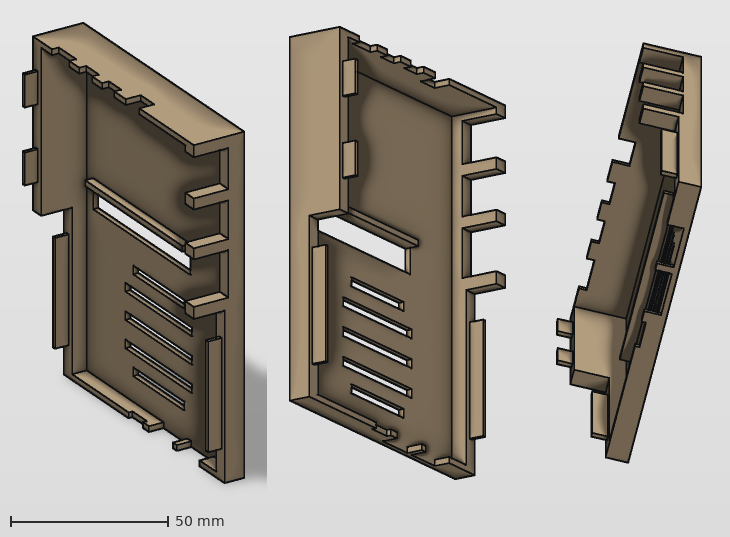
import cadquery as cq

width = 96.0
height = 121.5
upper_depth = 19.0
lower_depth = 7.4
step_z = 60.5
plate_thickness = 2.0
side_wall = 5.1
end_wall = 2.1

tongue_thickness = 1.3
tongue_inset = 1.7
upper_tongue_reach = 4.9
lower_tongue_reach = 5.1
upper_tongue_length = 11.5
upper_tongue_bottoms = (71.6, 98.9)
lower_tongue_bottom = 11.4
lower_tongue_length = 38.9

side_slot_floor = 6.0
side_slots = (
    (64.8, 81.4),
    (85.3, 98.9),
    (102.8, 117.2),
)

shallow_cut = 2.5
deep_cut = 5.6
top_notches = (
    (11.4, 21.7, shallow_cut),
    (27.7, 35.4, shallow_cut),
    (41.3, 48.6, shallow_cut),
    (55.4, 63.5, deep_cut),
)

relief_cut = 1.5
full_cut = lower_depth - plate_thickness
bottom_notches = (
    (38.8, 47.3, relief_cut),
    (50.9, 65.2, full_cut),
    (67.5, 81.0, full_cut),
)

window_left = 9.0
window_right = 67.0
window_bottom = 60.1
window_top = 69.0
rib_thickness = 2.1
rib_height = 3.0

vent_height = 3.0
vent_center_z = 30.5
long_vent = 39.6
short_vent = 30.3
long_vent_pitch = 10.0
short_vent_offset = 17.9


def block(x_min, x_max, back, front, z_min, z_max):
    """Box whose back and front are distances from the back face towards -Y."""
    size = (x_max - x_min, front - back, z_max - z_min)
    return cq.Workplane("XY").box(*size, centered=False).translate((x_min, -front, z_min))


def make_shell():
    lower = block(0, width, 0, lower_depth, 0, step_z)
    upper = block(0, width, 0, upper_depth, step_z, height)
    cavity = block(
        side_wall, width - side_wall, plate_thickness, upper_depth, end_wall, height - end_wall
    )
    return lower.union(upper).cut(cavity)


def cut_wall_openings(body):
    for bottom, top in side_slots:
        body = body.cut(
            block(width - side_wall, width, side_slot_floor, upper_depth, bottom, top)
        )
    for left, right, depth in top_notches:
        body = body.cut(
            block(left, right, upper_depth - depth, upper_depth, height - end_wall, height)
        )
    for left, right, depth in bottom_notches:
        body = body.cut(block(left, right, lower_depth - depth, lower_depth, 0, end_wall))
    return body


def add_tongues(body):
    left = tongue_inset
    right = width - tongue_inset - tongue_thickness
    for bottom in upper_tongue_bottoms:
        body = body.union(
            block(
                left, left + tongue_thickness,
                upper_depth, upper_depth + upper_tongue_reach,
                bottom, bottom + upper_tongue_length,
            )
        )
    for x_min in (left, right):
        body = body.union(
            block(
                x_min, x_min + tongue_thickness,
                lower_depth, lower_depth + lower_tongue_reach,
                lower_tongue_bottom, lower_tongue_bottom + lower_tongue_length,
            )
        )
    return body


def add_window(body):
    rib_front = plate_thickness + rib_height
    rib = block(
        window_left, window_right, plate_thickness, rib_front, window_top, window_top + rib_thickness
    )
    window = block(window_left, window_right, 0, plate_thickness, window_bottom, window_top)
    return body.union(rib).cut(window)


def cut_vents(body):
    vents = [(offset, long_vent) for offset in (-long_vent_pitch, 0, long_vent_pitch)]
    vents += [(offset, short_vent) for offset in (-short_vent_offset, short_vent_offset)]
    for offset, length in vents:
        left = (width - length) / 2
        bottom = vent_center_z + offset - vent_height / 2
        body = body.cut(
            block(left, left + length, 0, plate_thickness, bottom, bottom + vent_height)
        )
    return body


result = cut_vents(add_window(add_tongues(cut_wall_openings(make_shell()))))